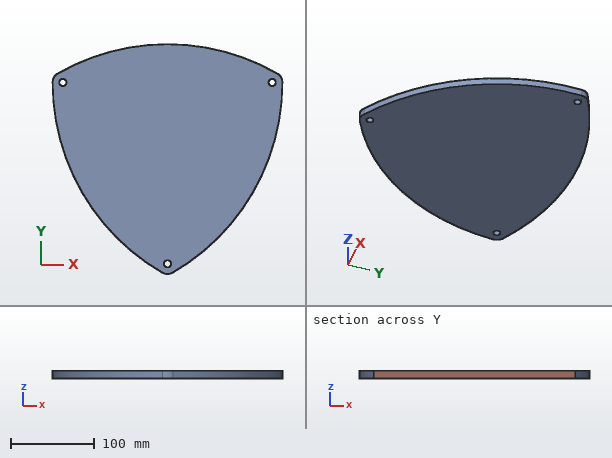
import cadquery as cq
import math

plate_width = 275.0
plate_thickness = 9.5
corner_radius = 12.5
hole_diameter = 8.2

hole_spacing = plate_width - 2 * corner_radius
side_radius = hole_spacing + corner_radius
center_to_hole = hole_spacing / math.sqrt(3)

corner_angles = [-90, 30, 150]


def polar_point(origin, radius, angle):
    """Point at a distance and an angle in degrees from an origin."""
    turn = math.radians(angle)
    return (origin[0] + radius * math.cos(turn), origin[1] + radius * math.sin(turn))


hole_centers = [polar_point((0, 0), center_to_hole, angle) for angle in corner_angles]


def make_plate():
    """Three corner arcs about the holes, joined by side arcs about the opposite holes."""
    half_arc = 30
    first_start = polar_point(hole_centers[0], corner_radius, corner_angles[0] - half_arc)
    outline = cq.Workplane("XY").moveTo(*first_start)
    for index, angle in enumerate(corner_angles):
        center = hole_centers[index]
        opposite_center = hole_centers[index - 1]
        side_angle = angle + 60
        corner_middle = polar_point(center, corner_radius, angle)
        corner_end = polar_point(center, corner_radius, angle + half_arc)
        side_middle = polar_point(opposite_center, side_radius, side_angle)
        side_end = polar_point(opposite_center, side_radius, side_angle + half_arc)
        outline = outline.threePointArc(corner_middle, corner_end)
        outline = outline.threePointArc(side_middle, side_end)
    return outline.close().extrude(plate_thickness)


def make_holes():
    """Through holes, one concentric with each rounded corner."""
    holes = cq.Workplane("XY").pushPoints(hole_centers)
    return holes.circle(hole_diameter / 2).extrude(plate_thickness)


result = make_plate().cut(make_holes())